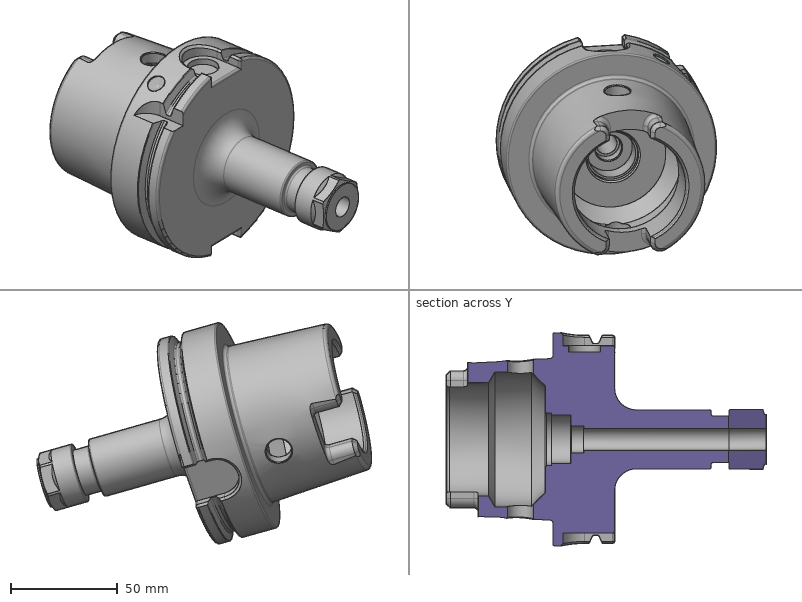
import cadquery as cq
import math

LENGTH = 150.0
FLANGE_FRONT = 50.0
FLANGE_BACK = 79.0
SHANK_END = 124.2
NUT_START = 132.5

MOUTH_RADIUS = 35.5
TAPER_RATIO = 1 / 20
MOUTH_ROUND = 2.0
FLANGE_RADIUS = 100.0 / 2
FLANGE_FRONT_ROUND = 0.8
FLANGE_BACK_ROUND = 1.2
TAPER_END = 47.8
TAPER_ROOT_ROUND = 1.5
TAPER_ROOT_RADIUS = MOUTH_RADIUS + TAPER_END * TAPER_RATIO

STEM_RADIUS = 27.9 / 2
STEM_ROOT_ROUND = 10.0
STEM_END_ROUND = 0.8
NECK_RADIUS = 22.0 / 2
NECK_ROOT_ROUND = 0.9

GROOVE_CENTER = 70.0
GROOVE_RADIUS = 46.0
GROOVE_TOP_HALF_WIDTH = 3.2
GROOVE_FLOOR_HALF_WIDTH = 1.4
GROOVE_FLOOR_ROUND = 0.9
GROOVE_EDGE_ROUND = 0.5

BORE_RADIUS = 53.0 / 2
BORE_LEAD_RADII = (27.8, 27.0)
BORE_LEAD_ENDS = (0.8, 1.6)
BORE_LAND_END = 20.0
UNDERCUT_RADIUS = 31.5
UNDERCUT_ANGLE = math.radians(60)
UNDERCUT_END = 39.9
BORE_FLOOR_RADIUS = 25.0
BORE_FLOOR = UNDERCUT_END + UNDERCUT_RADIUS - BORE_FLOOR_RADIUS

SOCKET_ENTRY_RADIUS = 24.5 / 2
SOCKET_RADIUS = 22.5 / 2
SOCKET_CHAMFER = 0.8
SOCKET_ENTRY_DEPTH = 3.0
SOCKET_DEPTH = 12.0
PASSAGE_ENTRY_RADIUS = 12.5 / 2
PASSAGE_CHAMFER = 0.5
PASSAGE_ENTRY_DEPTH = 6.0
PASSAGE_RADIUS = 10.0 / 2

DRIVE_SLOT_HALF_WIDTH = 9.8
DRIVE_SLOT_TOP = 32.1
DRIVE_SLOT_CORNER = 4.5
DRIVE_SLOT_FLOOR_ROUND = 2.0
DRIVE_SLOT_MOUTH_CHAMFER = 2.0
TOP_SLOT_DEPTH = 10.0
BOTTOM_SLOT_DEPTH = 15.0

CROSS_HOLE_X = 34.8
CROSS_HOLE_DIAMETER = 12.0
CROSS_HOLE_CHAMFER = 0.5

KEY_SLOT_X = 64.8
KEY_SLOT_WIDTH = 20.0
KEY_SLOT_FLOOR = 44.0
KEY_SLOT_CHAMFER = 1.2
RECESS_DIAMETER = 14.7
RECESS_DEPTH = 3.0
NOTCH_SIDE = 31.5

DIMPLE_X = 57.0
DIMPLE_DIAMETER = 8.5
DIMPLE_WALL = 0.8
DIMPLE_ANGLE = 60.0
DRILL_HALF_ANGLE = math.radians(59)

NUT_RADIUS = 28.0 / 2
NUT_START_ROUND = 0.5
HEX_START = 142.4
HEX_APOTHEM = 12.5
HEX_END = 148.4
NUT_LIP_START = 149.2
NUT_LIP_RADIUS = 23.5 / 2

REACH = 60.0
TOLERANCE = 0.02


def revolved(profile):
    """Turn a closed profile of (x, radius) points about the X axis."""
    return cq.Workplane("XY").polyline(profile).close().revolve(360, (0, 0, 0), (1, 0, 0))


def edges_at(body, x):
    """List the edges that lie in the plane across the X axis at a station."""
    low = (x - TOLERANCE, -REACH, -REACH)
    high = (x + TOLERANCE, REACH, REACH)
    return body.edges(cq.selectors.BoxSelector(low, high, boundingbox=True)).vals()


def circles_at(body, x, radius):
    """Select the circular edges of one radius around the X axis at a station."""
    circles = [edge for edge in edges_at(body, x) if edge.geomType() == "CIRCLE"]
    return body.newObject([edge for edge in circles if abs(edge.radius() - radius) < TOLERANCE])


def about_axis(body, angle):
    return body.rotate((0, 0, 0), (1, 0, 0), angle)


def rim_edges(body, half_width, x_low, x_high, z_low):
    """Select the edges around a cut on the outside of the body, on both the +Z and -Z sides."""
    found = []
    for edge in body.edges().vals():
        box = edge.BoundingBox()
        above_or_below = box.zmin > z_low or box.zmax < -z_low
        within_width = max(-box.ymin, box.ymax) < half_width + TOLERANCE
        if above_or_below and within_width and box.xmin > x_low and box.xmax < x_high:
            found.append(edge)
    return body.newObject(found)


def turned_blank():
    blank = revolved([
        (0, 0),
        (0, MOUTH_RADIUS),
        (TAPER_END, TAPER_ROOT_RADIUS),
        (FLANGE_FRONT, TAPER_ROOT_RADIUS),
        (FLANGE_FRONT, FLANGE_RADIUS),
        (FLANGE_BACK, FLANGE_RADIUS),
        (FLANGE_BACK, STEM_RADIUS),
        (SHANK_END, STEM_RADIUS),
        (SHANK_END, NECK_RADIUS),
        (NUT_START, NECK_RADIUS),
        (NUT_START, 0),
    ])
    rounds = [
        (0, MOUTH_RADIUS, MOUTH_ROUND),
        (FLANGE_FRONT, TAPER_ROOT_RADIUS, TAPER_ROOT_ROUND),
        (FLANGE_FRONT, FLANGE_RADIUS, FLANGE_FRONT_ROUND),
        (FLANGE_BACK, STEM_RADIUS, STEM_ROOT_ROUND),
        (SHANK_END, STEM_RADIUS, STEM_END_ROUND),
        (SHANK_END, NECK_RADIUS, NECK_ROOT_ROUND),
    ]
    for x, radius, round_radius in rounds:
        blank = circles_at(blank, x, radius).fillet(round_radius)
    return blank


def cross_hole():
    return cq.Workplane("XY").center(CROSS_HOLE_X, 0).circle(CROSS_HOLE_DIAMETER / 2).extrude(REACH, both=True)


def key_slot():
    """Round-ended slot running out through the back of the flange, above the floor on +Z."""
    half = KEY_SLOT_WIDTH / 2
    return (
        cq.Workplane("XY", origin=(KEY_SLOT_X, 0, KEY_SLOT_FLOOR))
        .moveTo(REACH, half).lineTo(0, half).threePointArc((-half, 0), (0, -half)).lineTo(REACH, -half).close()
        .extrude(REACH)
    )


def clamping_bore():
    undercut_start = BORE_LAND_END + (UNDERCUT_RADIUS - BORE_RADIUS) / math.tan(UNDERCUT_ANGLE)
    entry_end = BORE_FLOOR + SOCKET_ENTRY_DEPTH
    socket_end = BORE_FLOOR + SOCKET_DEPTH
    passage_step = socket_end + PASSAGE_ENTRY_DEPTH
    return revolved([
        (0, 0),
        (0, BORE_LEAD_RADII[0]),
        (BORE_LEAD_ENDS[0], BORE_LEAD_RADII[1]),
        (BORE_LEAD_ENDS[1], BORE_RADIUS),
        (BORE_LAND_END, BORE_RADIUS),
        (undercut_start, UNDERCUT_RADIUS),
        (UNDERCUT_END, UNDERCUT_RADIUS),
        (BORE_FLOOR, BORE_FLOOR_RADIUS),
        (BORE_FLOOR, SOCKET_ENTRY_RADIUS + SOCKET_CHAMFER),
        (BORE_FLOOR + SOCKET_CHAMFER, SOCKET_ENTRY_RADIUS),
        (entry_end, SOCKET_ENTRY_RADIUS),
        (entry_end, SOCKET_RADIUS),
        (socket_end, SOCKET_RADIUS),
        (socket_end, PASSAGE_ENTRY_RADIUS + PASSAGE_CHAMFER),
        (socket_end + PASSAGE_CHAMFER, PASSAGE_ENTRY_RADIUS),
        (passage_step, PASSAGE_ENTRY_RADIUS),
        (passage_step, PASSAGE_RADIUS),
        (NUT_START, PASSAGE_RADIUS),
        (NUT_START, 0),
    ])


def gripper_groove():
    """V-shaped ring with a rounded floor and rounded outer edges."""
    slope = math.atan2(FLANGE_RADIUS - GROOVE_RADIUS, GROOVE_TOP_HALF_WIDTH - GROOVE_FLOOR_HALF_WIDTH)
    floor_start = GROOVE_FLOOR_HALF_WIDTH - GROOVE_FLOOR_ROUND * math.tan(slope / 2)
    edge_end = GROOVE_TOP_HALF_WIDTH + GROOVE_EDGE_ROUND * math.tan(slope / 2)
    floor_center = (floor_start, GROOVE_RADIUS + GROOVE_FLOOR_ROUND)
    edge_center = (edge_end, FLANGE_RADIUS - GROOVE_EDGE_ROUND)

    def on_arc(center, radius, angle):
        return (center[0] + radius * math.sin(angle), center[1] - radius * math.cos(angle))

    right_side = [
        on_arc(floor_center, GROOVE_FLOOR_ROUND, slope / 2),
        on_arc(floor_center, GROOVE_FLOOR_ROUND, slope),
        on_arc(edge_center, -GROOVE_EDGE_ROUND, slope),
        on_arc(edge_center, -GROOVE_EDGE_ROUND, slope / 2),
    ]
    left_side = [(-x, radius) for x, radius in right_side]
    return (
        cq.Workplane("XY", origin=(GROOVE_CENTER, 0, 0))
        .moveTo(-floor_start, GROOVE_RADIUS).lineTo(floor_start, GROOVE_RADIUS)
        .threePointArc(right_side[0], right_side[1]).lineTo(*right_side[2])
        .threePointArc(right_side[3], (edge_end, FLANGE_RADIUS))
        .lineTo(edge_end, REACH).lineTo(-edge_end, REACH).lineTo(-edge_end, FLANGE_RADIUS)
        .threePointArc(left_side[3], left_side[2]).lineTo(*left_side[1])
        .threePointArc(left_side[0], (-floor_start, GROOVE_RADIUS)).close()
        .revolve(360, (0, 0, 0), (1, 0, 0))
    )


def drive_slot_outline(plane, growth):
    """Outline of a drive slot, widening outwards through rounded corners, enlarged by a margin."""
    half = DRIVE_SLOT_HALF_WIDTH + growth
    corner = DRIVE_SLOT_CORNER - growth
    top = DRIVE_SLOT_TOP - growth
    center_y = half + corner
    center_z = top - corner
    arc_y = center_y - corner * math.cos(math.pi / 4)
    arc_z = center_z + corner * math.sin(math.pi / 4)
    return (
        plane.moveTo(-half, 0).lineTo(-half, center_z)
        .threePointArc((-arc_y, arc_z), (-center_y, top))
        .lineTo(-REACH / 2, top).lineTo(-REACH / 2, REACH).lineTo(REACH / 2, REACH).lineTo(REACH / 2, top)
        .lineTo(center_y, top).threePointArc((arc_y, arc_z), (half, center_z)).lineTo(half, 0).close()
    )


def drive_slot(depth):
    slot = drive_slot_outline(cq.Workplane("YZ"), 0).extrude(depth)
    slot = slot.faces(">X").edges().fillet(DRIVE_SLOT_FLOOR_ROUND)
    flare = (
        drive_slot_outline(cq.Workplane("YZ"), DRIVE_SLOT_MOUTH_CHAMFER)
        .workplane(offset=DRIVE_SLOT_MOUTH_CHAMFER)
    )
    flare = drive_slot_outline(flare, 0).loft(ruled=True)
    return slot.union(flare)


def recess():
    return (
        cq.Workplane("XY", origin=(KEY_SLOT_X, 0, KEY_SLOT_FLOOR))
        .circle(RECESS_DIAMETER / 2).extrude(-RECESS_DEPTH)
    )


def corner_notch():
    """Round-ended slot with its floor and its wall equally far from the axis."""
    offset = (0, -NOTCH_SIDE - KEY_SLOT_WIDTH / 2, NOTCH_SIDE - KEY_SLOT_FLOOR)
    return key_slot().translate(offset)


def dimple():
    radius = DIMPLE_DIAMETER / 2
    wall_end = FLANGE_RADIUS - DIMPLE_WALL
    tip = wall_end - radius / math.tan(DRILL_HALF_ANGLE)
    drill = (
        cq.Workplane("XZ")
        .polyline([(0, tip), (radius, wall_end), (radius, REACH), (0, REACH)]).close()
        .revolve(360, (0, 0, 0), (0, 1, 0))
    )
    return about_axis(drill, 90 - DIMPLE_ANGLE).translate((DIMPLE_X, 0, 0))


def add_cross_hole(body):
    reach = CROSS_HOLE_DIAMETER / 2
    body = body.cut(cross_hole())
    edges = rim_edges(body, reach, CROSS_HOLE_X - 2 * reach, CROSS_HOLE_X + 2 * reach, BORE_RADIUS)
    return edges.chamfer(CROSS_HOLE_CHAMFER)


def add_key_slots(body):
    """Cut opposite slots into the flange and chamfer their outer edges."""
    for turn in (0, 180):
        body = body.cut(about_axis(key_slot(), turn))
    edges = rim_edges(body, KEY_SLOT_WIDTH / 2, FLANGE_FRONT, FLANGE_BACK + TOLERANCE, KEY_SLOT_FLOOR + TOLERANCE)
    return edges.chamfer(KEY_SLOT_CHAMFER)


def round_flange_back(body):
    """Round the outline of the flange's back face, along the rim and around the key slots."""
    outline = [
        edge for edge in edges_at(body, FLANGE_BACK)
        if edge.geomType() == "LINE" or edge.radius() > KEY_SLOT_FLOOR
    ]
    return body.newObject(outline).fillet(FLANGE_BACK_ROUND)


def make_holder():
    body = round_flange_back(add_key_slots(add_cross_hole(turned_blank())))
    cuts = [
        gripper_groove(),
        clamping_bore(),
        drive_slot(TOP_SLOT_DEPTH),
        about_axis(drive_slot(BOTTOM_SLOT_DEPTH), 180),
        recess(),
        corner_notch(),
        dimple(),
    ]
    for cut in cuts:
        body = body.cut(cut)
    return body


def make_nut():
    nut = revolved([
        (NUT_START, PASSAGE_RADIUS),
        (NUT_START, NUT_RADIUS),
        (HEX_END, NUT_RADIUS),
        (NUT_LIP_START, NUT_LIP_RADIUS),
        (LENGTH, NUT_LIP_RADIUS),
        (LENGTH, PASSAGE_RADIUS),
    ])
    nut = circles_at(nut, NUT_START, NUT_RADIUS).fillet(NUT_START_ROUND)
    hexagon = (
        cq.Workplane("YZ").polygon(6, 2 * HEX_APOTHEM, circumscribed=True).extrude(LENGTH)
    )
    collar = revolved([
        (NUT_START, 0),
        (NUT_START, NUT_RADIUS),
        (HEX_START, NUT_RADIUS),
        (HEX_START + NUT_RADIUS, 0),
    ])
    return nut.intersect(hexagon.union(collar))


holder = make_holder()
nut = make_nut()
result = cq.Compound.makeCompound([holder.val(), nut.val()])